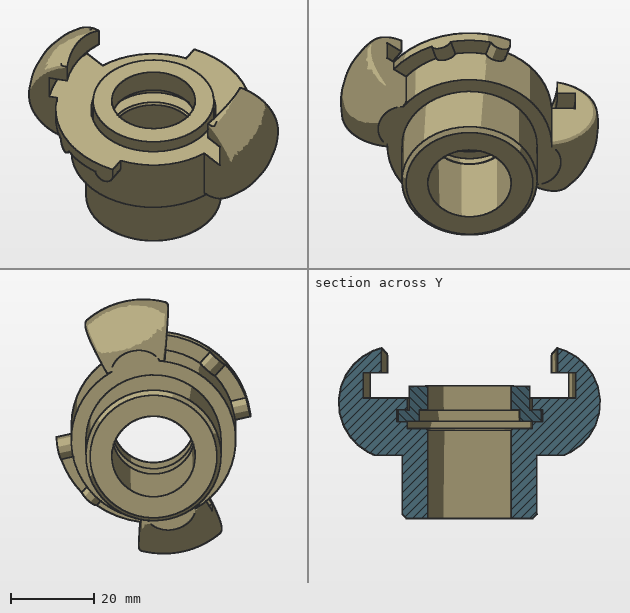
import cadquery as cq
import math

NECK_DIA = 32.5
NECK_CHAMFER = 1.0
SHOULDER_Z = 15.2
RING_DIA = 39.55
FACE_Z = 28.95
BORE_DIA = 20.0
BORE_CHAMFER = 0.47
SEAT_DIA = 30.0
SEAT_Z = 21.65
GROOVE_DIA = 35.0
GROOVE_BOTTOM_Z = 23.35
GROOVE_TOP_Z = 26.1

LUG_RADIUS = 23.5
LUG_BOTTOM_Z = 26.0
BUMP_RADIUS = 2.5
BUMP_BOTTOM_Z = 24.25
BUMP_ANGLES = (0, 35.4)
BUMP_Z = BUMP_BOTTOM_Z + BUMP_RADIUS

CLAW_REACH = 31.5
CLAW_CENTRE_Z = 27.85
CLAW_SWEEP_RADIUS = 13.55
CLAW_CROWN_RADIUS = 21.1
CLAW_CAP_RADIUS = 19.2
CLAW_BLANK_HALF_WIDTH = 12.6
WEDGE_HALF_ANGLE = 18.0
WEDGE_CENTRE_HALF_WIDTH = 1.15
CLAW_EDGE_FILLET = 1.0
CLAW_INNER_RADIUS = 21.1
CLAW_ROOT_OVERLAP = 1.25
CLAW_SLOT_RADIUS = 25.45
CLAW_SLOT_TOP_Z = 35.0
CLAW_TOP_Z = 41.0

SEAL_LIP_DIA = 29.0
SEAL_FLANGE_DIA = 34.5
SEAL_RECESS_DIA = 24.1
SEAL_EDGE_Z = 31.75
SEAL_TOP_Z = 31.9


def cylinder(diameter, bottom, top):
    return cq.Workplane("XY").workplane(offset=bottom).circle(diameter / 2).extrude(top - bottom)


def half_turn(body):
    return body.rotate((0, 0, 0), (0, 0, 1), 180)


def make_lug():
    """Lug on the -Y side, running from its open end at +X round to the -X claw."""
    ring = cylinder(2 * LUG_RADIUS, BUMP_BOTTOM_Z, FACE_Z)
    slab = cylinder(2 * LUG_RADIUS, LUG_BOTTOM_Z, FACE_Z)
    sector = (
        cq.Workplane("XY")
        .moveTo(BUMP_RADIUS, 0)
        .lineTo(BUMP_RADIUS, -2 * LUG_RADIUS)
        .lineTo(-2 * LUG_RADIUS, -2 * LUG_RADIUS)
        .lineTo(-2 * LUG_RADIUS, 0)
        .close()
        .extrude(FACE_Z)
    )
    bump_blank = cq.Workplane("XZ").center(0, BUMP_Z).circle(BUMP_RADIUS).extrude(2 * LUG_RADIUS)
    lug = slab.intersect(sector)
    corner = cq.Workplane("XY").box(
        BUMP_RADIUS, 2 * LUG_RADIUS, BUMP_Z - BUMP_BOTTOM_Z, centered=(False, True, False)
    ).translate((0, 0, BUMP_BOTTOM_Z))
    lug = lug.cut(corner)
    for angle in BUMP_ANGLES:
        lug = lug.union(bump_blank.rotate((0, 0, 0), (0, 0, 1), -angle).intersect(ring))
    return lug


def make_claw():
    """Claw on the -X side."""
    axis_x = CLAW_SWEEP_RADIUS - CLAW_REACH
    crown_drop = CLAW_CROWN_RADIUS - math.sqrt(CLAW_CROWN_RADIUS**2 - CLAW_BLANK_HALF_WIDTH**2)
    edge_x = crown_drop - CLAW_REACH
    barrel = (
        cq.Workplane("XY")
        .workplane(offset=CLAW_CENTRE_Z)
        .moveTo(axis_x, -CLAW_BLANK_HALF_WIDTH)
        .lineTo(edge_x, -CLAW_BLANK_HALF_WIDTH)
        .threePointArc((-CLAW_REACH, 0), (edge_x, CLAW_BLANK_HALF_WIDTH))
        .lineTo(axis_x, CLAW_BLANK_HALF_WIDTH)
        .close()
        .revolve(360, (axis_x, 0, 0), (axis_x, 1, 0))
    )
    wedge_length = 2 * CLAW_REACH
    wedge_half_width = WEDGE_CENTRE_HALF_WIDTH + wedge_length * math.tan(math.radians(WEDGE_HALF_ANGLE))
    wedge = (
        cq.Workplane("XY")
        .moveTo(0, -WEDGE_CENTRE_HALF_WIDTH)
        .lineTo(0, WEDGE_CENTRE_HALF_WIDTH)
        .lineTo(-wedge_length, wedge_half_width)
        .lineTo(-wedge_length, -wedge_half_width)
        .close()
        .extrude(2 * CLAW_TOP_Z)
    )
    core = cylinder(RING_DIA - 2 * CLAW_ROOT_OVERLAP, 0, 2 * CLAW_TOP_Z)
    claw = barrel.intersect(wedge).cut(core)
    claw = claw.faces("<Y or >Y").edges("<X").fillet(CLAW_EDGE_FILLET)
    claw = claw.intersect(cylinder(3 * CLAW_REACH, SHOULDER_Z, CLAW_TOP_Z))
    cap = (
        cq.Workplane("YZ")
        .center(0, CLAW_TOP_Z - CLAW_CAP_RADIUS)
        .circle(CLAW_CAP_RADIUS)
        .extrude(-2 * CLAW_REACH)
    )
    claw = claw.intersect(cap)
    claw = claw.cut(cylinder(2 * CLAW_SLOT_RADIUS, FACE_Z, CLAW_SLOT_TOP_Z))
    return claw.cut(cylinder(2 * CLAW_INNER_RADIUS, CLAW_SLOT_TOP_Z, 2 * CLAW_TOP_Z))


def make_housing():
    neck = cylinder(NECK_DIA, 0, SHOULDER_Z).faces("<Z").chamfer(NECK_CHAMFER)
    housing = neck.union(cylinder(RING_DIA, SHOULDER_Z, FACE_Z))
    lug = make_lug()
    claw = make_claw()
    for feature in (lug, half_turn(lug), claw, half_turn(claw)):
        housing = housing.union(feature)
    chamfer_cone = cq.Solid.makeCone(
        BORE_DIA / 2, BORE_DIA / 2 + BORE_CHAMFER, BORE_CHAMFER, pnt=(0, 0, SEAT_Z - BORE_CHAMFER)
    )
    bores = (
        cylinder(BORE_DIA, 0, SEAT_Z)
        .union(cq.Workplane(chamfer_cone))
        .union(cylinder(SEAT_DIA, SEAT_Z, FACE_Z))
        .union(cylinder(GROOVE_DIA, GROOVE_BOTTOM_Z, GROOVE_TOP_Z))
    )
    return housing.cut(bores)


def make_seal():
    """Seal turned from its half section, with a top face that rises towards the bore."""
    return (
        cq.Workplane("XZ")
        .moveTo(SEAL_RECESS_DIA / 2, GROOVE_BOTTOM_Z)
        .lineTo(SEAL_FLANGE_DIA / 2, GROOVE_BOTTOM_Z)
        .lineTo(SEAL_FLANGE_DIA / 2, GROOVE_TOP_Z)
        .lineTo(SEAL_LIP_DIA / 2, GROOVE_TOP_Z)
        .lineTo(SEAL_LIP_DIA / 2, SEAL_EDGE_Z)
        .lineTo(BORE_DIA / 2, SEAL_TOP_Z)
        .lineTo(BORE_DIA / 2, GROOVE_TOP_Z)
        .lineTo(SEAL_RECESS_DIA / 2, GROOVE_TOP_Z)
        .close()
        .revolve(360, (0, 0, 0), (0, 1, 0))
    )


housing = make_housing()
seal = make_seal()

result = cq.Compound.makeCompound([housing.val(), seal.val()])